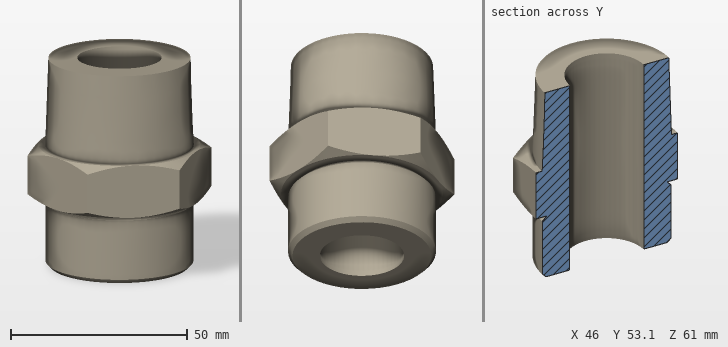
import cadquery as cq
import math

total_height = 61.0
bore_diameter = 24.0

lower_diameter = 42.0
lower_height = 20.0
chamfer = 1.3

across_flats = 46.0
hex_height = 15.4
hex_chamfer_angle = 30.0

taper_top_diameter = 40.45
taper_base_diameter = 42.2

hex_top = lower_height + hex_height
across_corners = across_flats / math.cos(math.pi / 6)


def make_body():
    """Revolved lower cylinder with both rims chamfered, and the upper taper."""
    lower_radius = lower_diameter / 2
    profile = [
        (0, 0),
        (lower_radius - chamfer, 0),
        (lower_radius, chamfer),
        (lower_radius, lower_height - chamfer),
        (lower_radius - chamfer, lower_height),
        (lower_radius - chamfer, hex_top),
        (taper_base_diameter / 2, hex_top),
        (taper_top_diameter / 2, total_height),
        (0, total_height),
    ]
    return cq.Workplane("XZ").polyline(profile).close().revolve(360, (0, 0), (0, 1))


def make_hexagon():
    """Hexagon whose corners are turned off by a cone at both ends."""
    prism = (
        cq.Workplane("XY")
        .workplane(offset=lower_height)
        .transformed(rotate=(0, 0, 90))
        .polygon(6, across_corners)
        .extrude(hex_height)
    )
    flat_radius = across_flats / 2
    corner_radius = across_corners / 2
    drop = (corner_radius - flat_radius) * math.tan(math.radians(hex_chamfer_angle))
    profile = [
        (0, lower_height),
        (flat_radius, lower_height),
        (corner_radius, lower_height + drop),
        (corner_radius, hex_top - drop),
        (flat_radius, hex_top),
        (0, hex_top),
    ]
    envelope = cq.Workplane("XZ").polyline(profile).close().revolve(360, (0, 0), (0, 1))
    return prism.intersect(envelope)


bore = cq.Workplane("XY").circle(bore_diameter / 2).extrude(total_height)

result = make_body().union(make_hexagon()).cut(bore)